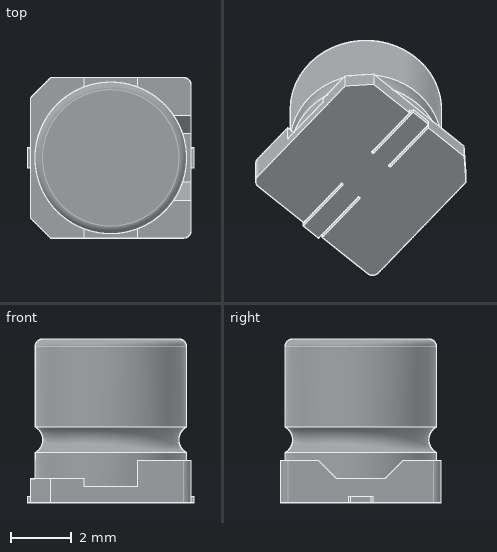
import cadquery as cq

can_diameter = 5.0
can_height = 5.4
can_edge_radius = 0.25
groove_bottom = 1.65
groove_top = 2.5
groove_depth = 0.25

base_side = 5.3
plate_height = 0.8
block_height = 1.4
base_chamfer = 0.67
base_corner_radius = 0.25

slot_width = 1.77
slot_floor = 0.54

gap_floor_width = 1.6
gap_slope_run = block_height - plate_height

terminal_span = 5.5
terminal_spacing = 1.5
terminal_width = 0.67
terminal_thickness = 0.21
pocket_width = 0.82

half_side = base_side / 2
half_slot = slot_width / 2


def make_base():
    """Square base with stepped top, chamfered -X corners and rounded +X corners."""
    profile = [
        (-half_side, 0),
        (half_side, 0),
        (half_side, block_height),
        (half_slot, block_height),
        (half_slot, slot_floor),
        (-half_slot, slot_floor),
        (-half_slot, plate_height),
        (-half_side, plate_height),
    ]
    base = cq.Workplane("XZ").polyline(profile).close().extrude(half_side, both=True)
    base = base.edges("|Z and <X").chamfer(base_chamfer)
    return base.edges("|Z and >X").fillet(base_corner_radius)


def make_block_gap():
    """Gap through the raised block with a flat floor and sloping sides."""
    half_floor = gap_floor_width / 2
    half_mouth = half_floor + gap_slope_run
    profile = [
        (-half_floor, plate_height),
        (half_floor, plate_height),
        (half_mouth, block_height),
        (-half_mouth, block_height),
    ]
    return (
        cq.Workplane("YZ", origin=(half_slot, 0, 0))
        .polyline(profile)
        .close()
        .extrude(half_side - half_slot)
    )


def make_can():
    """Can revolved about Z, standing on the slot floor."""
    radius = can_diameter / 2
    groove_middle = (groove_bottom + groove_top) / 2
    return (
        cq.Workplane("XZ")
        .moveTo(0, slot_floor)
        .lineTo(radius, slot_floor)
        .lineTo(radius, groove_bottom)
        .threePointArc((radius - groove_depth, groove_middle), (radius, groove_top))
        .lineTo(radius, can_height)
        .lineTo(0, can_height)
        .close()
        .revolve(360, (0, 0), (0, 1))
        .faces(">Z")
        .edges()
        .fillet(can_edge_radius)
    )


def make_strips(span, width):
    """Pair of flat strips along X on the underside, with the terminal spacing between them."""
    length = (span - terminal_spacing) / 2
    centre = (span + terminal_spacing) / 4
    return (
        cq.Workplane("XY")
        .pushPoints([(-centre, 0), (centre, 0)])
        .rect(length, width)
        .extrude(terminal_thickness)
    )


pockets = make_strips(base_side, pocket_width)
terminals = make_strips(terminal_span, terminal_width)

base = make_base().cut(make_block_gap()).cut(pockets)
result = base.union(make_can()).union(terminals)